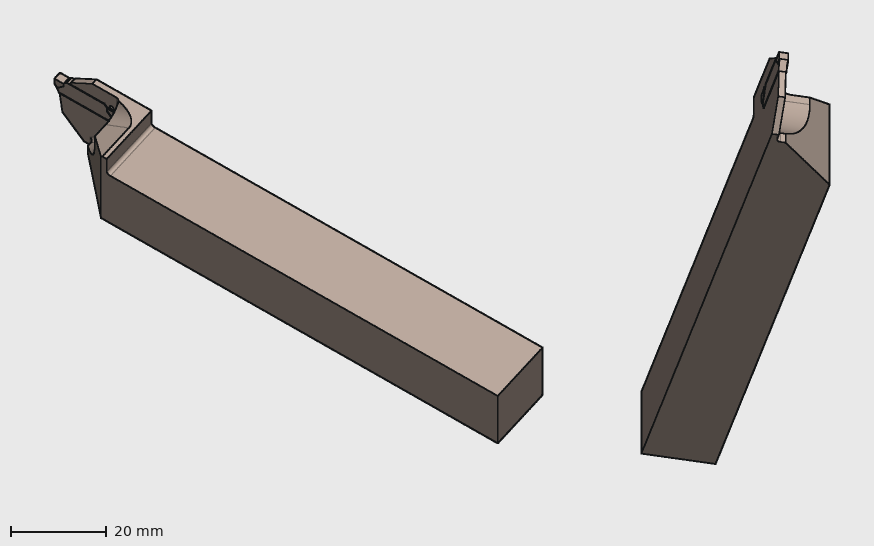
import cadquery as cq
import math

LENGTH = 125.0
SHANK_SIZE = 16.0
HEAD_HEIGHT = 21.0
INSERT_WIDTH = 2.0
CHEEK_RELIEF = 0.1
BLADE_INSET = 0.2
HOLDER_BACK = -BLADE_INSET
HOLDER_FRONT = HOLDER_BACK - SHANK_SIZE
BLADE_FRONT = -INSERT_WIDTH + BLADE_INSET

STEP_X = 23.9
STEP_FILLET = 0.9
BEVEL_X = 22.4
BLADE_FOOT_X = 7.5
BLADE_CORNER = (1.9, 5.8)
BLADE_NOSE_X = 1.1
BLADE_TOP_X = 9.6
BLADE_BROW = (4.1, 17.2)

WALL_X = 16.8
WALL_RADIUS = 16.9
WALL_CENTER_Z = 15.9
WALL_FOOT_X = 9.9
WALL_FILLET = 0.9

RAMP_ANGLE = 29.0
RAMP_FILLET = 5.0
RAMP_OFFSET = 0.4
RAMP_LENGTH = 18.8
RAMP_HEIGHT = 10.0

SEAT_Z = 11.8
CLAMP_Z = 16.6
INSERT_LENGTH = 15.9
TIP_Z = 15.9
TIP_LENGTH = 2.4
TIP_FLANK_Z = 14.1
SHOULDER_X = 3.1
CHEEK_BOTTOM = (0.69, 13.1)
CHEEK_SIDE_Z = 15.0
RELIEF_HOLE_RADIUS = 0.5
RELIEF_HOLE_X = 14.6


def prism(outline, y_front, y_back):
    """Extrude a closed XZ outline between two Y positions."""
    return outline.extrude(y_back - y_front).translate((0, y_back, 0))


def mirrored(points):
    """Swap the two ends of the insert."""
    return [(INSERT_LENGTH - x, z) for x, z in reversed(points)]


def insert_outline():
    half = [
        (BLADE_NOSE_X, SEAT_Z),
        (0, TIP_FLANK_Z),
        (0, TIP_Z),
        (TIP_LENGTH, TIP_Z),
        (SHOULDER_X, CLAMP_Z),
    ]
    return cq.Workplane("XZ").polyline(half + mirrored(half)).close()


def make_insert():
    body = prism(insert_outline(), -INSERT_WIDTH + CHEEK_RELIEF, -CHEEK_RELIEF)
    tip = [
        (0, TIP_Z),
        (TIP_LENGTH, TIP_Z),
        (TIP_LENGTH, CHEEK_SIDE_Z),
        CHEEK_BOTTOM,
        (0, TIP_FLANK_Z),
    ]
    for points in (tip, mirrored(tip)):
        cheek = cq.Workplane("XZ").polyline(points).close()
        body = body.union(prism(cheek, -INSERT_WIDTH, 0))
    return body


def make_side_profile():
    """Blade, head and shank as one full-width bar."""
    outline = cq.Workplane("XZ").polyline([
        (BLADE_FOOT_X, 0),
        (LENGTH, 0),
        (LENGTH, SHANK_SIZE),
        (STEP_X, SHANK_SIZE),
        (STEP_X, HEAD_HEIGHT),
        (BLADE_TOP_X, HEAD_HEIGHT),
        BLADE_BROW,
        (BLADE_NOSE_X, SEAT_Z),
        BLADE_CORNER,
    ]).close()
    bar = prism(outline, HOLDER_FRONT, HOLDER_BACK)
    inner_corner = cq.selectors.NearestToPointSelector(
        (STEP_X, (HOLDER_FRONT + HOLDER_BACK) / 2, SHANK_SIZE))
    return bar.edges("|Y").edges(inner_corner).fillet(STEP_FILLET)


def wall_cutter():
    """Space in front of the blade, bounded behind by the curved wall."""
    center_x = WALL_X - WALL_RADIUS
    foot_z = WALL_CENTER_Z - math.sqrt(WALL_RADIUS**2 - (WALL_FOOT_X - center_x)**2)
    middle = math.atan2(foot_z - WALL_CENTER_Z, WALL_FOOT_X - center_x) / 2
    arc_middle = (
        center_x + WALL_RADIUS * math.cos(middle),
        WALL_CENTER_Z + WALL_RADIUS * math.sin(middle),
    )
    margin = 1.2
    outline = (
        cq.Workplane("XZ")
        .moveTo(-margin, -margin)
        .lineTo(WALL_FOOT_X, -margin)
        .lineTo(WALL_FOOT_X, foot_z)
        .threePointArc(arc_middle, (WALL_X, WALL_CENTER_Z))
        .lineTo(WALL_X, HEAD_HEIGHT + margin)
        .lineTo(-margin, HEAD_HEIGHT + margin)
        .close()
    )
    cutter = prism(outline, HOLDER_FRONT - margin, BLADE_FRONT)
    root_edges = cq.selectors.BoxSelector(
        (WALL_FOOT_X - margin, BLADE_FRONT - margin, -margin),
        (WALL_X + margin, BLADE_FRONT + margin, HEAD_HEIGHT))
    return cutter.faces(">Y").edges(root_edges).fillet(WALL_FILLET)


def bevel_cutter():
    """Corner in front of the 45 degree bevel."""
    depth = BLADE_FRONT - HOLDER_FRONT
    return (
        cq.Workplane("XY")
        .polyline([
            (BEVEL_X, HOLDER_FRONT),
            (BEVEL_X - depth, BLADE_FRONT),
            (0, BLADE_FRONT),
            (0, HOLDER_FRONT),
        ])
        .close()
        .extrude(HEAD_HEIGHT)
    )


def ramp_cutter():
    """Sloping channel with a rounded edge along the blade side."""
    width = BLADE_FRONT - HOLDER_FRONT
    return (
        cq.Workplane("XY")
        .box(RAMP_LENGTH, width, RAMP_HEIGHT, centered=False)
        .edges(">Y and <Z").fillet(RAMP_FILLET)
        .translate((-RAMP_LENGTH, HOLDER_FRONT, 0))
        .rotate((0, 0, 0), (0, 1, 0), -RAMP_ANGLE)
        .translate((BEVEL_X + RAMP_OFFSET, 0, HEAD_HEIGHT))
    )


def pocket_cutter():
    """Slot through the blade for the insert, with a relief hole at its inner top corner."""
    slot = prism(insert_outline(), -INSERT_WIDTH, 0)
    relief = prism(
        cq.Workplane("XZ").center(RELIEF_HOLE_X, CLAMP_Z).circle(RELIEF_HOLE_RADIUS),
        -INSERT_WIDTH, 0)
    return slot.union(relief)


def make_holder():
    return (
        make_side_profile()
        .cut(bevel_cutter())
        .cut(ramp_cutter())
        .cut(wall_cutter())
        .cut(pocket_cutter())
    )


holder = make_holder()
insert = make_insert()

result = cq.Compound.makeCompound([holder.val(), insert.val()])